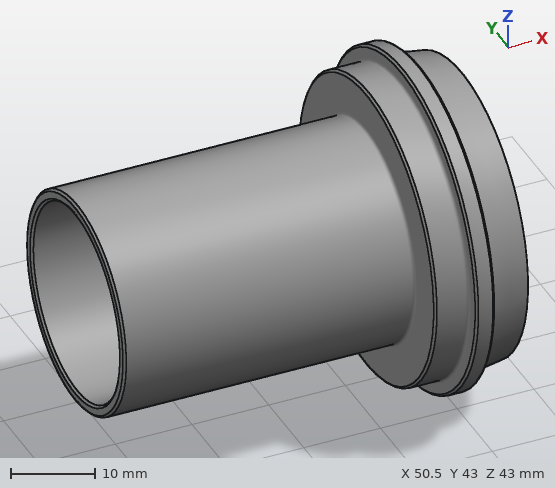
import cadquery as cq
import math

tube_length = 38.0
shoulder_length = 4.5
collar_width = 2.5
total_length = 50.5

bore_radius = 25.0 / 2
tube_radius = 28.0 / 2
shoulder_radius = 39.0 / 2
collar_radius = 43.0 / 2
cone_end_radius = 37.9 / 2
cone_half_angle = 10.0

edge_chamfer = 0.3
root_fillet = 0.4
cone_end_fillet = 0.2

match_tolerance = 0.01

collar_start = tube_length + shoulder_length
collar_end = collar_start + collar_width
cone_length = total_length - collar_end
cone_root_radius = cone_end_radius + cone_length * math.tan(math.radians(cone_half_angle))


def make_sharp_body():
    """Revolve the half section, with sharp corners, about the X axis."""
    half_section = (
        cq.Workplane("XY")
        .moveTo(0, bore_radius)
        .lineTo(0, tube_radius)
        .lineTo(tube_length, tube_radius)
        .lineTo(tube_length, shoulder_radius)
        .lineTo(collar_start, shoulder_radius)
        .lineTo(collar_start, collar_radius)
        .lineTo(collar_end, collar_radius)
        .lineTo(collar_end, cone_root_radius)
        .lineTo(total_length, cone_end_radius)
        .lineTo(total_length, bore_radius)
        .close()
    )
    return half_section.revolve(360, (0, 0, 0), (1, 0, 0))


def circular_edges(body, corners):
    """Select the circular edges that lie at the given (x, radius) corners."""

    def is_at(edge, x, radius):
        x_matches = abs(edge.Center().x - x) < match_tolerance
        return x_matches and abs(edge.radius() - radius) < match_tolerance

    circles = body.edges("%CIRCLE").vals()
    chosen = [edge for edge in circles if any(is_at(edge, *corner) for corner in corners)]
    return body.newObject(chosen)


def fillet_roots(body):
    """Round the inside corners at the foot of the shoulder and of the collar."""
    corners = [
        (tube_length, tube_radius),
        (collar_start, shoulder_radius),
        (collar_end, cone_root_radius),
    ]
    return circular_edges(body, corners).fillet(root_fillet)


def chamfer_outer_edges(body):
    """Break the edges of the tube mouth, the shoulder and the collar."""
    corners = [
        (0, bore_radius),
        (0, tube_radius),
        (tube_length, shoulder_radius),
        (collar_start, collar_radius),
        (collar_end, collar_radius),
    ]
    return circular_edges(body, corners).chamfer(edge_chamfer)


def fillet_cone_end(body):
    """Round the small end of the cone."""
    return circular_edges(body, [(total_length, cone_end_radius)]).fillet(cone_end_fillet)


result = make_sharp_body()
result = fillet_roots(result)
result = chamfer_outer_edges(result)
result = fillet_cone_end(result)